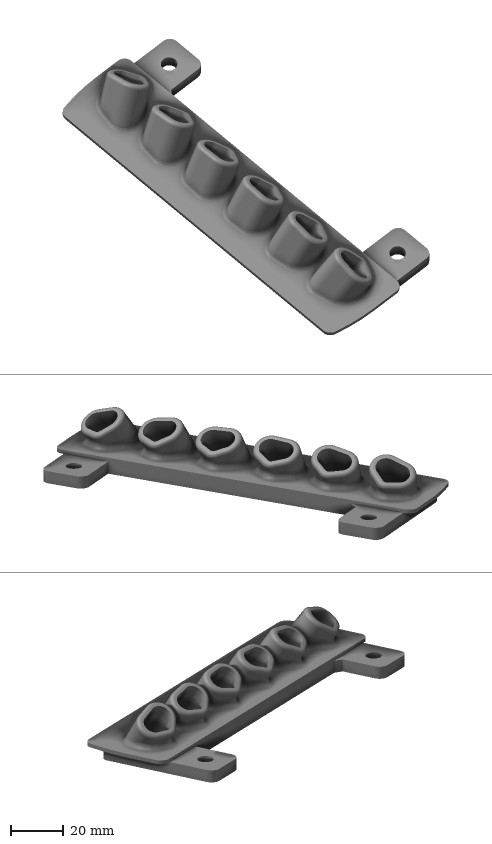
import cadquery as cq
import math

SLAB_THICKNESS = 5.0
SLAB_HALF_WIDTH = 72.7
SLAB_FRONT_Y = 5.5
FRONT_RELIEF = 0.6
RELIEF_START_X = 64.7
RELIEF_END_X = 68.4
SLAB_FRONT_RADIUS = 2.8
TAB_WIDTH = 19.1
TAB_END_Y = 56.8
TAB_CORNER_RADIUS = 3.5
BRACE_WIDTH = 3.0
BRACE_LENGTH = 2.0
SCREW_HOLE_DIAMETER = 6.3
SCREW_HOLE_Y = 47.1

PLATE_WIDTH = 154.0
PLATE_DEPTH = 37.0
PLATE_THICKNESS = 1.5
PLATE_BEND_Y = 21.5
PLATE_SIDE_RADIUS = 84.7
PLATE_CORNER_RADIUS = 3.7

NOZZLES_PER_SIDE = 3
NOZZLE_SPACING = 23.7
NOZZLE_Y = 18.3
NOZZLE_LENGTH = 12.8
BACKWARD_TILT = 33.0
SIDEWAYS_TILT_STEP = 3.4
BORE_FLAT_HALF = 3.1
BORE_SIDE_RADIUS = 4.0
BORE_TIP_RADIUS = 2.0
BORE_ROOF_ANGLE = 30.0
NOZZLE_WALL = 2.5
RIM_RADIUS = 1.5
BASE_RADIUS = 2.0

PLATE_TOP = SLAB_THICKNESS + PLATE_THICKNESS
TAB_INNER_X = SLAB_HALF_WIDTH - TAB_WIDTH
SCREW_HOLE_X = SLAB_HALF_WIDTH - TAB_WIDTH / 2
ROOT_DEPTH = 38.5
SELECTION_MARGIN = 0.2
NOZZLE_INDICES = range(1 - 2 * NOZZLES_PER_SIDE, 2 * NOZZLES_PER_SIDE, 2)


def make_slab():
    """Solid slab with a tab at each back corner, each with a screw hole."""
    relief_y = SLAB_FRONT_Y + FRONT_RELIEF
    slab = (
        cq.Workplane("XY")
        .moveTo(-RELIEF_START_X, SLAB_FRONT_Y)
        .lineTo(RELIEF_START_X, SLAB_FRONT_Y)
        .lineTo(RELIEF_END_X, relief_y)
        .lineTo(SLAB_HALF_WIDTH, relief_y)
        .lineTo(SLAB_HALF_WIDTH, TAB_END_Y)
        .lineTo(TAB_INNER_X, TAB_END_Y)
        .lineTo(TAB_INNER_X, PLATE_DEPTH)
        .lineTo(BRACE_WIDTH - TAB_INNER_X, PLATE_DEPTH)
        .lineTo(-TAB_INNER_X, PLATE_DEPTH + BRACE_LENGTH)
        .lineTo(-TAB_INNER_X, TAB_END_Y)
        .lineTo(-SLAB_HALF_WIDTH, TAB_END_Y)
        .lineTo(-SLAB_HALF_WIDTH, relief_y)
        .lineTo(-RELIEF_END_X, relief_y)
        .close()
        .extrude(SLAB_THICKNESS)
    )
    tab_ends = slab.edges("|Z").edges(">Y")
    slab = tab_ends.fillet(TAB_CORNER_RADIUS)
    front_ends = slab.edges("|Z and (<X or >X)").edges("<Y")
    slab = front_ends.fillet(SLAB_FRONT_RADIUS)
    holes = (
        cq.Workplane("XY")
        .pushPoints([(-SCREW_HOLE_X, SCREW_HOLE_Y), (SCREW_HOLE_X, SCREW_HOLE_Y)])
        .circle(SCREW_HOLE_DIAMETER / 2)
        .extrude(SLAB_THICKNESS)
    )
    return slab.cut(holes)


def make_plate():
    """Thin cover plate with sides that curve inwards towards the front."""
    half = PLATE_WIDTH / 2

    def side_x(y):
        drop = PLATE_BEND_Y - y
        return half - PLATE_SIDE_RADIUS + math.sqrt(PLATE_SIDE_RADIUS**2 - drop**2)

    mid_y = PLATE_BEND_Y / 2
    return (
        cq.Workplane("XY", origin=(0, 0, SLAB_THICKNESS))
        .moveTo(-side_x(0), 0)
        .lineTo(side_x(0), 0)
        .threePointArc((side_x(mid_y), mid_y), (half, PLATE_BEND_Y))
        .lineTo(half, PLATE_DEPTH)
        .lineTo(-half, PLATE_DEPTH)
        .lineTo(-half, PLATE_BEND_Y)
        .threePointArc((-side_x(mid_y), mid_y), (-side_x(0), 0))
        .close()
        .extrude(PLATE_THICKNESS)
        .edges("|Z and (<Y or >Y)")
        .fillet(PLATE_CORNER_RADIUS)
    )


def nozzle_prism(offset, top):
    """Upright bore shape grown by offset: flat front, round sides, rounded roof tip at the back."""
    side_radius = BORE_SIDE_RADIUS + offset
    tip_radius = BORE_TIP_RADIUS + offset
    roof = math.radians(BORE_ROOF_ANGLE)
    sine, cosine = math.sin(roof), math.cos(roof)
    shoulder = (BORE_FLAT_HALF + side_radius * sine, side_radius * cosine)
    tip_edge_x = tip_radius * sine
    tip_edge_y = shoulder[1] + (shoulder[0] - tip_edge_x) * math.tan(roof)
    tip_y = tip_edge_y + tip_radius * (1 - cosine)
    side_x = BORE_FLAT_HALF + side_radius
    return (
        cq.Workplane("XY", origin=(0, 0, -ROOT_DEPTH))
        .moveTo(-BORE_FLAT_HALF, -side_radius)
        .lineTo(BORE_FLAT_HALF, -side_radius)
        .threePointArc((side_x, 0), shoulder)
        .lineTo(tip_edge_x, tip_edge_y)
        .threePointArc((0, tip_y), (-tip_edge_x, tip_edge_y))
        .lineTo(-shoulder[0], shoulder[1])
        .threePointArc((-side_x, 0), (-BORE_FLAT_HALF, -side_radius))
        .close()
        .extrude(ROOT_DEPTH + top)
    )


def place(shape, index):
    """Tilt backwards, then sideways away from the middle, and move to its place."""
    return (
        shape.rotate((0, 0, 0), (1, 0, 0), -BACKWARD_TILT)
        .rotate((0, 0, 0), (0, 1, 0), index * SIDEWAYS_TILT_STEP)
        .translate((index * NOZZLE_SPACING / 2, NOZZLE_Y, PLATE_TOP))
    )


def make_nozzle(index):
    """Outer nozzle with a rounded rim, cut off inside the plate thickness."""
    upright = nozzle_prism(NOZZLE_WALL, NOZZLE_LENGTH).faces(">Z").edges().fillet(RIM_RADIUS)
    space_above = (
        cq.Workplane("XY", origin=(0, 0, PLATE_TOP - PLATE_THICKNESS / 2))
        .rect(2 * PLATE_WIDTH, 2 * PLATE_WIDTH)
        .extrude(PLATE_WIDTH)
    )
    return place(upright, index).intersect(space_above)


def make_bore(index):
    """Cutter that runs along the nozzle axis and through the slab."""
    return place(nozzle_prism(0, NOZZLE_LENGTH + RIM_RADIUS), index)


def fillet_nozzle_bases(body):
    """Round the joints of the nozzles with the plate top, leaving the plate outline sharp."""
    inner_half_width = PLATE_WIDTH / 2 - SELECTION_MARGIN
    joints = cq.selectors.BoxSelector(
        (-inner_half_width, SELECTION_MARGIN, PLATE_TOP - SELECTION_MARGIN),
        (inner_half_width, PLATE_DEPTH - SELECTION_MARGIN, PLATE_TOP + SELECTION_MARGIN),
        boundingbox=True,
    )
    return body.edges(joints).fillet(BASE_RADIUS)


body = make_plate()
for index in NOZZLE_INDICES:
    body = body.union(make_nozzle(index))
body = fillet_nozzle_bases(body).union(make_slab())
for index in NOZZLE_INDICES:
    body = body.cut(make_bore(index))

result = body